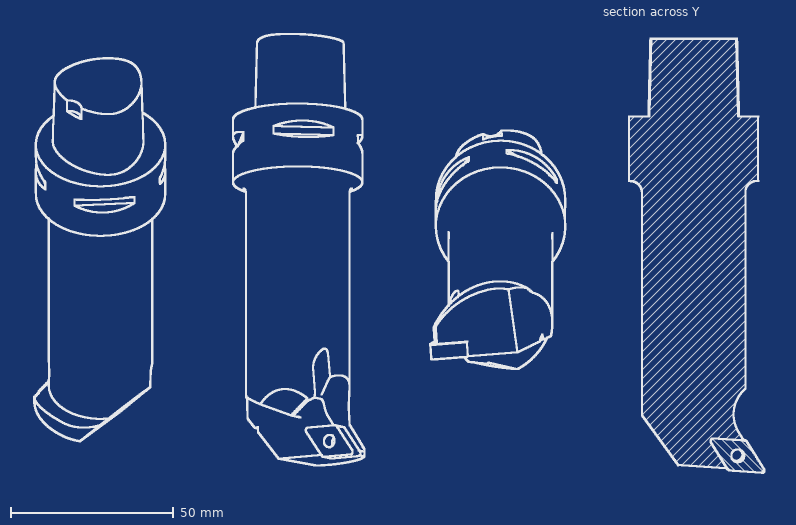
import cadquery as cq
import math


SHANK_HEIGHT = 24.0
SHANK_BASE_RADIUS = 14.0
SHANK_TAPER = 0.025
LOBE_HEIGHT = 0.9
SECTORS = 6
POINTS_PER_SECTOR = 9

KEY_NOTCH_WIDTH = 6.2
KEY_NOTCH_HEIGHT = 4.2
KEY_NOTCH_DEPTH = 1.5

FLANGE_DIAMETER = 40.0
FLANGE_BOTTOM = -20.0
BAR_DIAMETER = 32.0
NECK_FILLET = 3.5

GRIP_SLOTS = 4
GRIP_FLAT_DISTANCE = 17.7
GRIP_FLAT_HEIGHT = 2.4
GRIP_CENTRE_Z = -8.0
GRIP_WALL_SLOPE = 0.62

INSERT_ANGLE = 55.0
INSERT_INSCRIBED_DIAMETER = 9.525
INSERT_THICKNESS = 4.76
INSERT_HOLE_DIAMETER = 3.81
NOSE_RADIUS = 0.8
END_EDGE_ANGLE = 3.0
SIDE_EDGE_ANGLE = END_EDGE_ANGLE + INSERT_ANGLE
TIP_REACH = 21.87
TOOL_LENGTH = 110.0
TIP_Y = 0.1

RAKE_LEAN_X = 0.14
RAKE_LEAN_Z = 0.105
nose_centre = (-TIP_REACH + NOSE_RADIUS, TIP_Y, -TOOL_LENGTH + NOSE_RADIUS)
rake = cq.Plane(
    origin=nose_centre,
    xDir=(1, RAKE_LEAN_X, 0),
    normal=(RAKE_LEAN_X, -1, RAKE_LEAN_Z),
)

CONE_TOP = -97.3
CONE_HEIGHT = 14.0
CONE_SLOPE = math.tan(math.radians(30))
HEAD_FRONT = 18.0
HEAD_WIDE_RADIUS = 25.2
HEAD_NARROW_RADIUS = 14.5
BACK_SLANT_X = 16.0
BACK_SLANT_Z = -92.2
BACK_SLANT_ANGLE = 54.0

FLANK_INSET = 0.65
CORNER_CHAMFER = 1.6
FLUTE_RADIUS = 10.5
FLUTE_TANGENT_HEIGHT = 11.5

POCKET_FLOOR_X = 8.4
POCKET_FLOOR_Y = 17.6
POCKET_FLOOR_LENGTH = 8.9
POCKET_RUNOUT_RADIUS = 10.0
POCKET_END_DROP = 34.0
POCKET_END_LENGTH = 9.1
POCKET_BACK_RISE = 26.0
POCKET_EDGE_ROUND = 0.8
POCKET_FILLET = 1.6

RELIEF_START = (-12.1, 10.3, -92.86)
RELIEF_ANGLE = 53.0

FAR = 60.0
OVERRUN = 1.0


def polar(point, angle, distance):
    """The point at a distance from another, in the direction of an angle in degrees."""
    turn = math.radians(angle)
    return (point[0] + distance * math.cos(turn), point[1] + distance * math.sin(turn))


def crossing(point_a, angle_a, point_b, angle_b):
    """The point where two lines, each given by a point and an angle in degrees, cross."""
    a = math.radians(angle_a)
    b = math.radians(angle_b)
    dx = point_b[0] - point_a[0]
    dy = point_b[1] - point_a[1]
    distance = (dx * math.sin(b) - dy * math.cos(b)) / math.sin(b - a)
    return polar(point_a, angle_a, distance)


def lobed_wire(mean_radius, z):
    """A constant-width three-lobed outline with one lobe on +Y, as six smooth edges."""

    def point(direction):
        lobe = 3 * (direction - math.pi / 2)
        reach = mean_radius + LOBE_HEIGHT * math.cos(lobe)
        slide = -3 * LOBE_HEIGHT * math.sin(lobe)
        x = reach * math.cos(direction) - slide * math.sin(direction)
        y = reach * math.sin(direction) + slide * math.cos(direction)
        return cq.Vector(x, y, z)

    def tangent(direction):
        return cq.Vector(-math.sin(direction), math.cos(direction), 0)

    sector = 2 * math.pi / SECTORS
    edges = []
    for i in range(SECTORS):
        start = i * sector
        directions = [start + sector * k / (POINTS_PER_SECTOR - 1) for k in range(POINTS_PER_SECTOR)]
        ends = [tangent(directions[0]), tangent(directions[-1])]
        edges.append(cq.Edge.makeSpline([point(d) for d in directions], tangents=ends))
    return cq.Wire.assembleEdges(edges)


def make_shank():
    top_radius = SHANK_BASE_RADIUS - SHANK_TAPER * SHANK_HEIGHT
    outlines = [lobed_wire(SHANK_BASE_RADIUS, 0), lobed_wire(top_radius, SHANK_HEIGHT)]
    shank = cq.Workplane(obj=cq.Solid.makeLoft(outlines, True))
    flat_y = -(top_radius - LOBE_HEIGHT)
    half_width = KEY_NOTCH_WIDTH / 2
    notch = (
        cq.Workplane("XY", origin=(0, 0, SHANK_HEIGHT - KEY_NOTCH_HEIGHT))
        .moveTo(-half_width, flat_y)
        .threePointArc((0, flat_y + KEY_NOTCH_DEPTH), (half_width, flat_y))
        .line(0, -KEY_NOTCH_DEPTH)
        .line(-KEY_NOTCH_WIDTH, 0)
        .close()
        .extrude(KEY_NOTCH_HEIGHT)
    )
    return shank.cut(notch)


def make_flange_and_bar():
    flange_radius = FLANGE_DIAMETER / 2
    bar_radius = BAR_DIAMETER / 2
    fillet_middle = NECK_FILLET * (1 - math.sqrt(0.5))
    return (
        cq.Workplane("XZ")
        .moveTo(0, 0)
        .lineTo(flange_radius, 0)
        .lineTo(flange_radius, FLANGE_BOTTOM)
        .lineTo(bar_radius + NECK_FILLET, FLANGE_BOTTOM)
        .threePointArc(
            (bar_radius + fillet_middle, FLANGE_BOTTOM - fillet_middle),
            (bar_radius, FLANGE_BOTTOM - NECK_FILLET),
        )
        .lineTo(bar_radius, CONE_TOP)
        .lineTo(bar_radius + CONE_SLOPE * CONE_HEIGHT, CONE_TOP - CONE_HEIGHT)
        .lineTo(0, CONE_TOP - CONE_HEIGHT)
        .close()
        .revolve(360, (0, 0, 0), (0, 1, 0))
    )


def make_grip_slots():
    """V-shaped gripper slots with flat floors, spaced around the flange between the axes."""
    depth = FLANGE_DIAMETER / 2 - GRIP_FLAT_DISTANCE + OVERRUN
    half_flat = GRIP_FLAT_HEIGHT / 2
    half_mouth = half_flat + GRIP_WALL_SLOPE * depth
    slot = (
        cq.Workplane("XZ", origin=(GRIP_FLAT_DISTANCE, 0, GRIP_CENTRE_Z))
        .moveTo(0, -half_flat)
        .lineTo(depth, -half_mouth)
        .lineTo(depth, half_mouth)
        .lineTo(0, half_flat)
        .close()
        .extrude(FLANGE_DIAMETER / 2, both=True)
    )
    spacing = 360 / GRIP_SLOTS
    slots = cq.Workplane()
    for i in range(GRIP_SLOTS):
        slots = slots.add(slot.rotate((0, 0, 0), (0, 0, 1), spacing * (i + 0.5)))
    return slots.combine()


def make_head_limit():
    """The upright side wall of the head: a wide arc on -X that meets a narrower arc on +X."""
    wide_centre = HEAD_WIDE_RADIUS - HEAD_FRONT
    narrow_centre = HEAD_NARROW_RADIUS - HEAD_FRONT
    wide_back = wide_centre + HEAD_WIDE_RADIUS
    narrow_back = narrow_centre + HEAD_NARROW_RADIUS
    return (
        cq.Workplane("XY", origin=(0, 0, CONE_TOP - CONE_HEIGHT))
        .moveTo(0, -HEAD_FRONT)
        .threePointArc((HEAD_NARROW_RADIUS, narrow_centre), (0, narrow_back))
        .lineTo(0, wide_back)
        .threePointArc((-HEAD_WIDE_RADIUS, wide_centre), (0, -HEAD_FRONT))
        .close()
        .extrude(CONE_HEIGHT)
    )


def make_back_slant():
    start = (BACK_SLANT_X, BACK_SLANT_Z)
    upper = polar(start, BACK_SLANT_ANGLE, FAR)
    lower = polar(start, BACK_SLANT_ANGLE + 180, FAR)
    return (
        cq.Workplane("XZ")
        .polyline([upper, lower, (upper[0], lower[1])])
        .close()
        .extrude(FAR, both=True)
    )


def make_flank_cut():
    """Space outside the head's side and end flanks, with a round flute above the side flank."""
    edge_offset = NOSE_RADIUS - FLANK_INSET
    side = polar((0, 0), SIDE_EDGE_ANGLE + 90, edge_offset)
    end = polar((0, 0), END_EDGE_ANGLE - 90, edge_offset)
    corner = crossing(side, SIDE_EDGE_ANGLE, end, END_EDGE_ANGLE)
    chamfer_top = polar(corner, SIDE_EDGE_ANGLE, CORNER_CHAMFER)
    chamfer_bottom = polar(corner, END_EDGE_ANGLE, CORNER_CHAMFER)
    end_far = polar(corner, END_EDGE_ANGLE, FAR)

    tangent_point = crossing(side, SIDE_EDGE_ANGLE, (0, FLUTE_TANGENT_HEIGHT), 0)
    flute_centre = polar(tangent_point, SIDE_EDGE_ANGLE + 90, FLUTE_RADIUS)
    flute_side = polar(flute_centre, 0, FLUTE_RADIUS)
    flute_top = polar(flute_centre, 90, FLUTE_RADIUS)
    return (
        cq.Workplane(rake)
        .moveTo(*end_far)
        .lineTo(*chamfer_bottom)
        .lineTo(*chamfer_top)
        .lineTo(*tangent_point)
        .threePointArc(flute_side, flute_top)
        .lineTo(-FAR, flute_top[1])
        .lineTo(-FAR, -FAR)
        .lineTo(end_far[0], -FAR)
        .close()
        .extrude(FAR, both=True)
    )


def make_chip_pocket():
    """Everything above the rake plane, below the pocket's floor, end wall and back wall."""
    floor_angle = 90 - END_EDGE_ANGLE
    floor_bottom = (POCKET_FLOOR_X, POCKET_FLOOR_Y)
    floor_top = polar(floor_bottom, floor_angle, POCKET_FLOOR_LENGTH)
    runout_centre = polar(floor_top, floor_angle + 90, POCKET_RUNOUT_RADIUS)
    runout_middle = polar(runout_centre, 45 - END_EDGE_ANGLE, POCKET_RUNOUT_RADIUS)
    runout_top = polar(runout_centre, 90 - END_EDGE_ANGLE, POCKET_RUNOUT_RADIUS)
    end_low = polar(floor_bottom, -POCKET_END_DROP, POCKET_END_LENGTH)
    back_far = polar(end_low, POCKET_BACK_RISE, FAR)
    pocket = (
        cq.Workplane(rake)
        .moveTo(*floor_bottom)
        .lineTo(*floor_top)
        .threePointArc(runout_middle, runout_top)
        .lineTo(-FAR, runout_top[1])
        .lineTo(-FAR, -FAR)
        .lineTo(back_far[0], -FAR)
        .lineTo(*back_far)
        .lineTo(*end_low)
        .close()
        .extrude(-FAR)
    )
    for corner in (floor_bottom, end_low):
        wall_edge = cq.NearestToPointSelector(rake.toWorldCoords((*corner, -FAR / 2)).toTuple())
        pocket = pocket.edges(wall_edge).fillet(POCKET_EDGE_ROUND)
    rake_face = cq.selectors.DirectionMinMaxSelector(rake.zDir, True)
    return pocket.faces(rake_face).edges().fillet(POCKET_FILLET)


def make_pocket_relief():
    """Wedge that slants the end wall's +Y part upwards."""
    drop = math.radians(POCKET_END_DROP)
    along_wall = cq.Plane(
        origin=RELIEF_START,
        xDir=(0, 1, 0),
        normal=(math.cos(drop), 0, -math.sin(drop)),
    )
    width = BAR_DIAMETER / 2
    rise = width * math.tan(math.radians(RELIEF_ANGLE))
    return (
        cq.Workplane(along_wall)
        .polyline([(0, 0), (width, rise), (width, -rise), (0, -rise)])
        .close()
        .extrude(FAR, both=True)
    )


def make_insert_blank():
    """Rhombic plate with rounded corners, without its hole."""
    side = (INSERT_INSCRIBED_DIAMETER - 2 * NOSE_RADIUS) / math.sin(math.radians(INSERT_ANGLE))
    end_corner = polar((0, 0), END_EDGE_ANGLE, side)
    side_corner = polar((0, 0), SIDE_EDGE_ANGLE, side)
    far_corner = polar(end_corner, SIDE_EDGE_ANGLE, side)
    return (
        cq.Workplane(rake)
        .polyline([(0, 0), end_corner, far_corner, side_corner])
        .close()
        .offset2D(NOSE_RADIUS)
        .extrude(INSERT_THICKNESS)
    )


def make_insert():
    reach = (INSERT_INSCRIBED_DIAMETER / 2 - NOSE_RADIUS) / math.sin(math.radians(INSERT_ANGLE / 2))
    centre = polar((0, 0), END_EDGE_ANGLE + INSERT_ANGLE / 2, reach)
    hole = cq.Workplane(rake).center(*centre).circle(INSERT_HOLE_DIAMETER / 2).extrude(INSERT_THICKNESS)
    return make_insert_blank().cut(hole)


def make_holder():
    bar = make_flange_and_bar().cut(make_grip_slots())
    head_zone = cq.Workplane("XY", origin=(0, 0, CONE_TOP)).circle(FAR).extrude(-CONE_HEIGHT)
    bar = bar.cut(head_zone.cut(make_head_limit()))
    for cutter in (
        make_back_slant(),
        make_flank_cut(),
        make_chip_pocket(),
        make_pocket_relief(),
        make_insert_blank(),
    ):
        bar = bar.cut(cutter)
    return bar.union(make_shank())


holder = make_holder()
insert = make_insert()

result = cq.Compound.makeCompound([holder.val(), insert.val()])